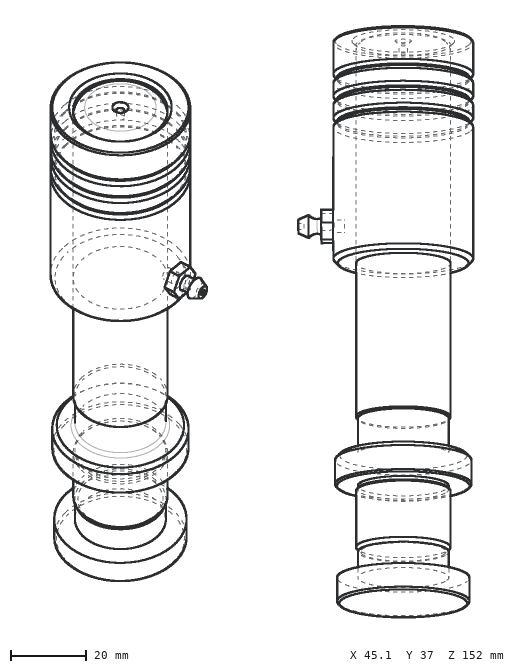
import cadquery as cq
import math

TOTAL_HEIGHT = 152.0

FOOT_RADIUS = 17.5
FOOT_DISC_HEIGHT = 7.0
FOOT_HEIGHT = 14.0
FOOT_CHAMFER = 0.6

PIN_RADIUS = 12.5
NECK_RADIUS = 12.0
PIN_STEP = PIN_RADIUS - NECK_RADIUS
PIN_END_CHAMFER = 1.2
PIN_TOP_FILLET = 3.0
COLLAR_RADIUS = 36.0 / 2
COLLAR_BASE = 31.8
COLLAR_TOP = 40.0
COLLAR_TOP_CHAMFER = 1.2
COLLAR_BASE_CHAMFER = 0.5
UNDERCUT_HEIGHT = 0.9
NECK_TOP = 50.5
NECK_FOOT_FILLET = 1.0

CENTRE_DRILL_RADIUS = 1.0
CENTRE_SINK_RADIUS = 2.1
CENTRE_SINK_ANGLE = 90.0
CENTRE_DRILL_LENGTH = 2.5
CENTRE_DRILL_POINT_ANGLE = 120.0

BUSH_RADIUS = 37.0 / 2
BUSH_LENGTH = 60.0
BUSH_BASE = TOTAL_HEIGHT - BUSH_LENGTH
BUSH_TOP_CHAMFER = 0.5
BUSH_BASE_CHAMFER = 1.2
BORE_CHAMFER = 1.0
GROOVE_COUNT = 3
GROOVE_PITCH = 6.0
FIRST_GROOVE_TOP = 143.0
GROOVE_WIDTH = 2.5
GROOVE_DEPTH = 1.0

NIPPLE_HEIGHT = 102.0
NIPPLE_ANGLE = -20.0
HEX_SIDES = 6
HEX_ACROSS_FLATS = 8.0
HEX_BACK = BUSH_RADIUS
HEX_FRONT = 21.6
SHANK_RADIUS = 1.7
SHANK_START = 15.5
SHOULDER_RADIUS = 2.1
SHOULDER_END = 22.6
WAIST_RADIUS = 2.0
HEAD_RADIUS = 3.0
HEAD_CREST = 25.0
TIP_RADIUS = 1.8
TIP_END = 27.7
TIP_HOLE_RADIUS = 0.8
TIP_HOLE_DEPTH = 1.5


def turned(profile):
    """Revolve a closed outline of (radius, height) points around the Z axis."""
    return cq.Workplane("XZ").polyline(profile).close().revolve(360, (0, 0, 0), (0, 1, 0))


def on_nipple_axis(shape):
    """Move a shape built along +Z from the origin onto the axis of the nipple."""
    level = shape.rotate((0, 0, 0), (0, 1, 0), 90)
    turned_out = level.rotate((0, 0, 0), (0, 0, 1), NIPPLE_ANGLE)
    return turned_out.translate((0, 0, NIPPLE_HEIGHT))


def make_foot():
    return turned([
        (0, 0),
        (FOOT_RADIUS - FOOT_CHAMFER, 0),
        (FOOT_RADIUS, FOOT_CHAMFER),
        (FOOT_RADIUS, FOOT_DISC_HEIGHT),
        (NECK_RADIUS, FOOT_DISC_HEIGHT),
        (NECK_RADIUS, FOOT_HEIGHT),
        (0, FOOT_HEIGHT),
    ])


def make_centre_hole():
    sink_half_angle = math.radians(CENTRE_SINK_ANGLE / 2)
    point_half_angle = math.radians(CENTRE_DRILL_POINT_ANGLE / 2)
    sink_depth = (CENTRE_SINK_RADIUS - CENTRE_DRILL_RADIUS) / math.tan(sink_half_angle)
    sink_floor = TOTAL_HEIGHT - sink_depth
    drill_floor = sink_floor - CENTRE_DRILL_LENGTH
    drill_point = drill_floor - CENTRE_DRILL_RADIUS / math.tan(point_half_angle)
    return turned([
        (0, TOTAL_HEIGHT),
        (CENTRE_SINK_RADIUS, TOTAL_HEIGHT),
        (CENTRE_DRILL_RADIUS, sink_floor),
        (CENTRE_DRILL_RADIUS, drill_floor),
        (0, drill_point),
    ])


def make_pin():
    undercut_base = COLLAR_BASE - UNDERCUT_HEIGHT
    pin = turned([
        (0, FOOT_HEIGHT),
        (PIN_RADIUS - PIN_END_CHAMFER, FOOT_HEIGHT),
        (PIN_RADIUS, FOOT_HEIGHT + PIN_END_CHAMFER),
        (PIN_RADIUS, undercut_base - PIN_STEP),
        (NECK_RADIUS, undercut_base),
        (NECK_RADIUS, COLLAR_BASE),
        (COLLAR_RADIUS - COLLAR_BASE_CHAMFER, COLLAR_BASE),
        (COLLAR_RADIUS, COLLAR_BASE + COLLAR_BASE_CHAMFER),
        (COLLAR_RADIUS, COLLAR_TOP - COLLAR_TOP_CHAMFER),
        (COLLAR_RADIUS - COLLAR_TOP_CHAMFER, COLLAR_TOP),
        (NECK_RADIUS, COLLAR_TOP),
        (NECK_RADIUS, NECK_TOP - PIN_STEP),
        (PIN_RADIUS, NECK_TOP),
        (PIN_RADIUS, TOTAL_HEIGHT),
        (0, TOTAL_HEIGHT),
    ])
    pin = pin.faces(">Z").edges().fillet(PIN_TOP_FILLET)
    collar_face = pin.faces(cq.selectors.NearestToPointSelector((0, 0, COLLAR_TOP)))
    pin = collar_face.edges(cq.selectors.RadiusNthSelector(0)).fillet(NECK_FOOT_FILLET)
    return pin.cut(make_centre_hole())


def make_groove(top):
    """Ring cutter for one groove with 45 degree flanks."""
    base = top - GROOVE_WIDTH
    floor_radius = BUSH_RADIUS - GROOVE_DEPTH
    return turned([
        (BUSH_RADIUS, top),
        (floor_radius, top - GROOVE_DEPTH),
        (floor_radius, base + GROOVE_DEPTH),
        (BUSH_RADIUS, base),
    ])


def make_shank():
    """The plain stem of the nipple, which also cuts its seat in the bush."""
    shank = (
        cq.Workplane("XY").workplane(offset=SHANK_START)
        .circle(SHANK_RADIUS).extrude(HEX_BACK - SHANK_START)
    )
    return on_nipple_axis(shank)


def make_bush():
    bush = turned([
        (PIN_RADIUS, BUSH_BASE),
        (BUSH_RADIUS - BUSH_BASE_CHAMFER, BUSH_BASE),
        (BUSH_RADIUS, BUSH_BASE + BUSH_BASE_CHAMFER),
        (BUSH_RADIUS, TOTAL_HEIGHT - BUSH_TOP_CHAMFER),
        (BUSH_RADIUS - BUSH_TOP_CHAMFER, TOTAL_HEIGHT),
        (PIN_RADIUS + BORE_CHAMFER, TOTAL_HEIGHT),
        (PIN_RADIUS, TOTAL_HEIGHT - BORE_CHAMFER),
    ])
    for index in range(GROOVE_COUNT):
        bush = bush.cut(make_groove(FIRST_GROOVE_TOP - index * GROOVE_PITCH))
    return bush.cut(make_shank())


def make_nipple():
    corner_diameter = HEX_ACROSS_FLATS / math.cos(math.pi / HEX_SIDES)
    hexagon = (
        cq.Workplane("XY").workplane(offset=HEX_BACK)
        .polygon(HEX_SIDES, corner_diameter).extrude(HEX_FRONT - HEX_BACK)
        .rotate((0, 0, 0), (0, 0, 1), 90)
    )
    arc_length = HEAD_CREST - SHOULDER_END
    arc_rise = HEAD_RADIUS - WAIST_RADIUS
    arc_radius = (arc_length**2 + arc_rise**2) / (2 * arc_rise)
    half_sweep = math.atan2(arc_rise, arc_length)
    arc_middle = (
        WAIST_RADIUS + arc_radius * (1 - math.cos(half_sweep)),
        SHOULDER_END + arc_radius * math.sin(half_sweep),
    )
    head = (
        cq.Workplane("XZ").moveTo(0, HEX_FRONT)
        .lineTo(SHOULDER_RADIUS, HEX_FRONT)
        .lineTo(WAIST_RADIUS, SHOULDER_END)
        .threePointArc(arc_middle, (HEAD_RADIUS, HEAD_CREST))
        .lineTo(TIP_RADIUS, TIP_END)
        .lineTo(0, TIP_END)
        .close().revolve(360, (0, 0, 0), (0, 1, 0))
    )
    tip_hole = (
        cq.Workplane("XY").workplane(offset=TIP_END)
        .circle(TIP_HOLE_RADIUS).extrude(-TIP_HOLE_DEPTH)
    )
    return on_nipple_axis(hexagon.union(head).cut(tip_hole)).union(make_shank())


foot = make_foot()
pin = make_pin()
bush = make_bush()
nipple = make_nipple()

result = cq.Compound.makeCompound([foot.val(), pin.val(), bush.val(), nipple.val()])